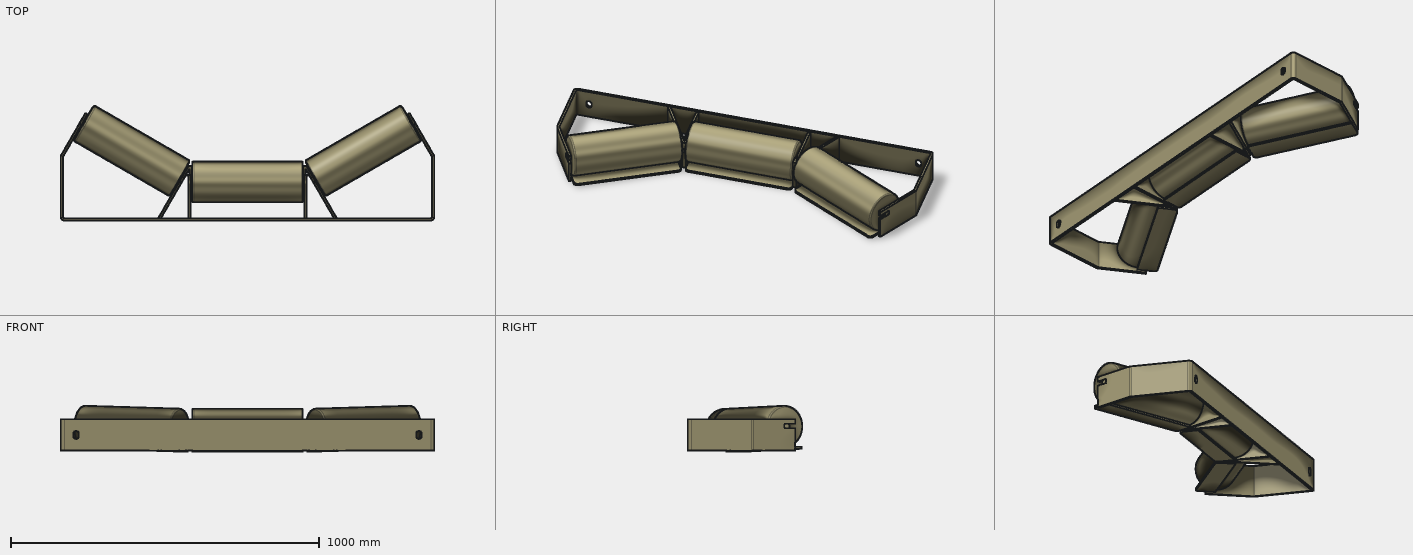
import cadquery as cq
import math

frame_width = 1210.0
strip_height = 102.0
sheet = 8.0
bend_outer_r = 12.0
bend_inner_r = bend_outer_r - sheet
wing_bend_y = 209.0
wing_length = 160.5
bolt_slot_inset = 50.0
bolt_slot_width = 18.0
bolt_slot_height = 26.0

trough_angle = 30.0
upright_inner_x = 184.0
leaning_foot_x = 289.0
head_base_y = 148.0
head_top_y = 177.0
head_offset = 3.6
web_thickness = 3.0

roller_d = 133.0
roller_length = 358.0
roller_edge_r = 4.2
shaft_d = 20.0
shaft_flats = 14.0
axis_z = 70.0
middle_axis_y = 125.0
wing_tilt = 1.5
wing_axis_offset = 8.25

guard_thickness = 6.8
guard_width = 66.0
guard_corner_r = 12.0

half_width = frame_width / 2
roller_r = roller_d / 2
sin_trough = math.sin(math.radians(trough_angle))
cos_trough = math.cos(math.radians(trough_angle))
tan_trough = math.tan(math.radians(trough_angle))

leaning_leg_reach = leaning_foot_x * cos_trough + sheet * sin_trough
wing_face_reach = half_width * cos_trough + wing_bend_y * sin_trough - sheet

middle_span = 2 * upright_inner_x
wing_span = wing_face_reach - leaning_leg_reach


def mirrored(body):
    """The matching body on the other side of the YZ plane."""
    return body.mirror("YZ")


def round_upright_edges(body, corners, radius):
    """Fillet the vertical edges that stand on the given corner points."""
    for x, y in corners:
        near = cq.selectors.BoxSelector((x - 1, y - 1, -1), (x + 1, y + 1, strip_height + 1))
        body = body.edges("|Z").edges(near).fillet(radius)
    return body


def place_middle(body):
    return body.translate((0, middle_axis_y, axis_z))


def place_left(body):
    """Raise the outer end by the tilt, turn to the trough angle and move to the left wing."""
    reach = (leaning_leg_reach + wing_face_reach) / 2
    x = -reach * cos_trough + wing_axis_offset * sin_trough
    y = reach * sin_trough + wing_axis_offset * cos_trough
    z = axis_z + wing_span / 2 * math.sin(math.radians(wing_tilt))
    tilted = body.rotate((0, 0, 0), (0, 1, 0), wing_tilt)
    turned = tilted.rotate((0, 0, 0), (0, 0, 1), -trough_angle)
    return turned.translate((x, y, z))


def make_cylinder(diameter, length):
    return cq.Workplane("YZ", origin=(-length / 2, 0, 0)).circle(diameter / 2).extrude(length)


def make_roller(span):
    """Shell and shaft; the shaft passes through the sheet at both ends."""
    shell = make_cylinder(roller_d, roller_length).edges().fillet(roller_edge_r)
    shaft_length = span + 2 * sheet
    flats = cq.Workplane("XY").box(shaft_length, shaft_d, shaft_flats)
    shaft = make_cylinder(shaft_d, shaft_length).intersect(flats)
    return shell.union(shaft)


def make_shaft_slot(span):
    """Cutter for the shaft seats at both ends, open toward +Y."""
    length = span + 4 * sheet
    flats = cq.Workplane("XY").box(length, 2 * roller_d, shaft_flats)
    seat = make_cylinder(shaft_d, length)
    mouth = cq.Workplane("XY").box(length, roller_d, shaft_d, centered=(True, False, True))
    return seat.union(mouth).intersect(flats)


def make_guard():
    plate = cq.Workplane("XY").box(roller_length, guard_width, guard_thickness)
    plate = plate.edges("|Z and >Y").fillet(guard_corner_r)
    return plate.translate((0, guard_width / 2, -roller_r - guard_thickness / 2))


def make_frame():
    corner_out = (-half_width, 0)
    corner_in = (-half_width + sheet, sheet)
    bend_out = (-half_width, wing_bend_y)
    bend_drop = sheet * math.tan(math.radians(trough_angle / 2))
    bend_in = (-half_width + sheet, wing_bend_y - bend_drop)
    tip_out = (bend_out[0] + wing_length * sin_trough, wing_bend_y + wing_length * cos_trough)
    tip_in = (tip_out[0] + sheet * cos_trough, tip_out[1] - sheet * sin_trough)

    left = [corner_out, bend_out, tip_out, tip_in, bend_in, corner_in]
    right = [(-x, y) for x, y in reversed(left)]
    frame = cq.Workplane("XY").polyline(left + right).close().extrude(strip_height)
    for side in (-1, 1):
        outer = [(-side * x, y) for x, y in (corner_out, bend_out)]
        inner = [(-side * x, y) for x, y in (corner_in, bend_in)]
        frame = round_upright_edges(frame, outer, bend_outer_r)
        frame = round_upright_edges(frame, inner, bend_inner_r)

    slot_x = half_width - bolt_slot_inset
    bolt_slots = (
        cq.Workplane("XZ")
        .pushPoints([(-slot_x, strip_height / 2), (slot_x, strip_height / 2)])
        .slot2D(bolt_slot_height, bolt_slot_width, 90)
        .extrude(-sheet)
    )
    return frame.cut(bolt_slots)


def leaning_x(y, depth):
    """X on the left leaning leg at a given Y, at a depth behind its roller-side face."""
    return -leaning_foot_x + depth / cos_trough + (y - sheet) * tan_trough


def make_left_bracket():
    upright_outer_x = upright_inner_x + sheet
    head_right_x = -upright_inner_x + head_offset
    head_left_x = head_right_x - sheet
    web_bottom_y = head_base_y - web_thickness
    outline = [
        (leaning_x(sheet, 0), sheet),
        (leaning_x(head_top_y, 0), head_top_y),
        (head_right_x, head_top_y),
        (head_right_x, head_base_y),
        (-upright_inner_x, head_base_y),
        (-upright_inner_x, sheet),
        (-upright_outer_x, sheet),
        (-upright_outer_x, web_bottom_y),
        (leaning_x(web_bottom_y, sheet), web_bottom_y),
        (leaning_x(sheet, sheet), sheet),
    ]
    window_left_x = leaning_x(head_base_y, sheet)
    window_top_y = head_base_y + (head_left_x - window_left_x) / tan_trough
    window = [
        (window_left_x, head_base_y),
        (head_left_x, head_base_y),
        (head_left_x, window_top_y),
    ]
    return (
        cq.Workplane("XY")
        .polyline(outline).close()
        .polyline(window).close()
        .extrude(strip_height)
    )


middle_slot = place_middle(make_shaft_slot(middle_span))
left_slot = place_left(make_shaft_slot(wing_span))

frame = make_frame().cut(left_slot).cut(mirrored(left_slot))

left_bracket = make_left_bracket().cut(middle_slot).cut(left_slot)
brackets = [left_bracket, mirrored(left_bracket)]

left_roller = place_left(make_roller(wing_span))
rollers = [place_middle(make_roller(middle_span)), left_roller, mirrored(left_roller)]

left_guard = place_left(make_guard())
guards = [place_middle(make_guard()), left_guard, mirrored(left_guard)]

bodies = [frame] + brackets + rollers + guards
result = cq.Compound.makeCompound([body.solids().val() for body in bodies])